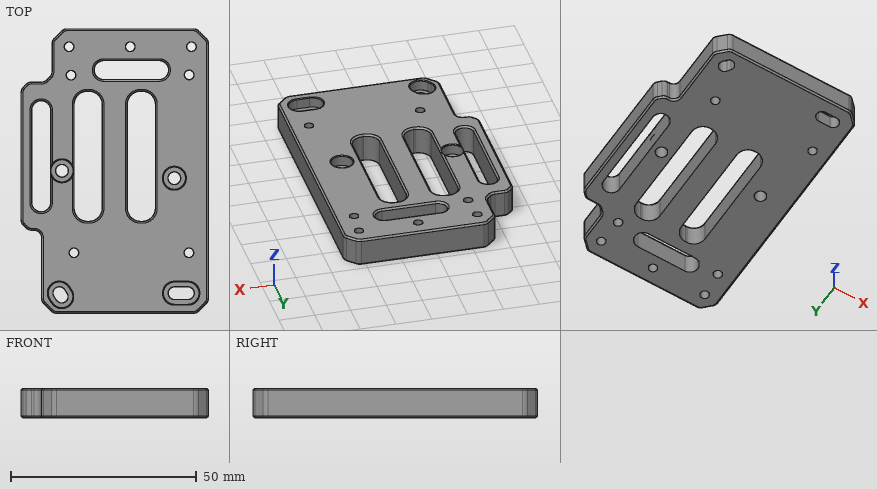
import cadquery as cq
plate_width = 50.6
plate_length = 76.8
plate_thickness = 8.0
edge_chamfer = 0.5

upper_left_x = 8.4
lower_left_x = 5.5
lobe_top_y = 62.45
lobe_bottom_y = 22.4
corner_cut = 3.2
lobe_cut = 2.0
blend_radius = 2.0

long_slot_length = 35.1
long_slot_width = 7.5
narrow_slot_width = 5.1
long_slot_end_flat = 0.45
lightening_slots = [
    (29.8, 65.7, 20.05, narrow_slot_width, 0, 0),
    (5.45, 42.4, 29.95, narrow_slot_width, 0, 90),
    (18.1, 42.4, long_slot_length, long_slot_width, long_slot_end_flat, 90),
    (32.5, 42.4, long_slot_length, long_slot_width, long_slot_end_flat, 90),
]

pin_diameter = 2.5
pin_points = [
    (13.0, 72.0),
    (29.5, 72.0),
    (46.0, 72.0),
    (13.5, 64.3),
    (45.4, 64.4),
    (14.3, 16.35),
    (45.3, 16.35),
]

screw_diameter = 3.4
counterbore_diameter = 6.0
counterbore_depth = 3.1
counterbore_chamfer = 0.245
screw_openings = [
    (11.05, 38.5, 0, 0),
    (41.4, 36.5, 0, 0),
    (43.25, 5.45, 3.6, 0),
    (10.7, 5.0, 1.15, -56),
]


def make_plate():
    """Plate with diagonal corner cuts, rounded upright edges and bevelled rims."""
    outline = [
        (lower_left_x + corner_cut, 0),
        (plate_width - corner_cut, 0),
        (plate_width, corner_cut),
        (plate_width, plate_length - corner_cut),
        (plate_width - corner_cut, plate_length),
        (upper_left_x + corner_cut, plate_length),
        (upper_left_x, plate_length - corner_cut),
        (upper_left_x, lobe_top_y + lobe_cut),
        (upper_left_x - lobe_cut, lobe_top_y),
        (lobe_cut, lobe_top_y),
        (0, lobe_top_y - lobe_cut),
        (0, lobe_bottom_y + lobe_cut),
        (lobe_cut, lobe_bottom_y),
        (lower_left_x, lobe_bottom_y),
        (lower_left_x, corner_cut),
    ]
    plate = cq.Workplane("XY").polyline(outline).close().extrude(plate_thickness)
    plate = plate.edges("|Z").fillet(blend_radius)
    return plate.faces("<Z or >Z").edges().chamfer(edge_chamfer)


def stadium(x, y, z, travel, diameter, angle):
    """Sketch of a circle, or of the outline it sweeps when moved by travel along angle."""
    plane = cq.Workplane("XY", origin=(x, y, z)).transformed(rotate=(0, 0, angle))
    if travel == 0:
        return plane.circle(diameter / 2)
    return plane.slot2D(travel + diameter, diameter)


def slot_face(x, y, z, length, width, end_flat, angle):
    """Slot outline at height z, with a straight stretch of end_flat left at each end."""
    if end_flat == 0:
        outline = cq.Sketch().slot(length - width, width)
    else:
        outline = cq.Sketch().rect(length, width).vertices().fillet((width - end_flat) / 2)
    plane = cq.Workplane("XY", origin=(x, y, z)).transformed(rotate=(0, 0, angle))
    return plane.placeSketch(outline)


def lightening_cutter(x, y, length, width, end_flat, angle):
    """Through slot with a bevelled rim on the top face."""
    rim_length = length + 2 * edge_chamfer
    rim_width = width + 2 * edge_chamfer
    cutter = slot_face(x, y, 0, length, width, end_flat, angle).extrude(plate_thickness)
    rim = slot_face(x, y, plate_thickness, rim_length, rim_width, end_flat, angle)
    return cutter.union(rim.extrude(-edge_chamfer, taper=45))


def pin_cutter(x, y):
    """Plain hole through the plate."""
    return stadium(x, y, 0, 0, pin_diameter, 0).extrude(plate_thickness)


def screw_cutter(x, y, travel, angle):
    """Through opening with a wider recess for the screw head, bevelled at the top face."""
    rim_diameter = counterbore_diameter + 2 * counterbore_chamfer
    seat_z = plate_thickness - counterbore_depth
    opening = stadium(x, y, 0, travel, screw_diameter, angle).extrude(plate_thickness)
    recess = stadium(x, y, seat_z, travel, counterbore_diameter, angle).extrude(counterbore_depth)
    rim = stadium(x, y, plate_thickness, travel, rim_diameter, angle)
    rim = rim.extrude(-counterbore_chamfer, taper=45)
    return opening.union(recess).union(rim)


result = make_plate()

for slot in lightening_slots:
    result = result.cut(lightening_cutter(*slot))

for pin_point in pin_points:
    result = result.cut(pin_cutter(*pin_point))

for screw_opening in screw_openings:
    result = result.cut(screw_cutter(*screw_opening))